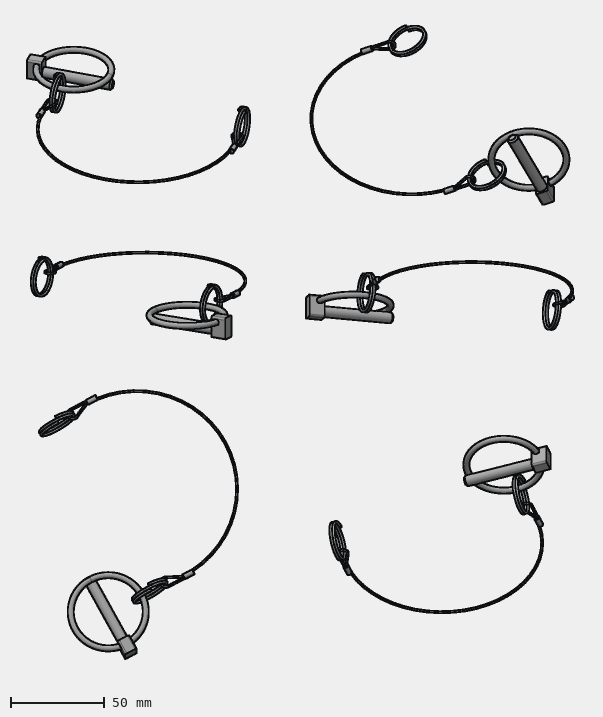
import cadquery as cq
import math

pull_ring_od = 43.4
pull_wire_dia = 3.4
pull_ring_radius = (pull_ring_od - pull_wire_dia) / 2

head_length = 8.4
head_width = 7.0
head_height = 12.0
head_left_x = -25.3
head_top_z = 3.0
head_edge_radius = 1.0

pin_dia = 6.0
pin_tip_x = 22.0
pin_tip_chamfer = 1.0
pin_axis_z = -5.0

split_ring_od = 21.4
split_wire_dia = 1.5
split_turns = 2
split_coil_gap = 0.05
split_pitch = split_wire_dia + split_coil_gap
split_ring_radius = (split_ring_od - split_wire_dia) / 2
split_ring_y = -24.8
split_ring_left_x = -0.6
split_ring_right_x = 103.3

overall_length = 132.75
overall_depth = 121.0
cable_dia = 1.2
ferrule_dia = 3.0
ferrule_length = 5.8
ferrule_top_y = -44.4
strand_offset = 0.65
loop_radius = 2.6
loop_centre_y = -34.7
stub_length = 1.0

ferrule_right_x = head_left_x + overall_length - ferrule_dia / 2
ferrule_left_x = -2.35
lanyard_mid_x = (ferrule_left_x + ferrule_right_x) / 2
arc_radius = lanyard_mid_x - (ferrule_left_x + strand_offset)
arc_bottom_y = pull_ring_od / 2 - overall_depth + cable_dia / 2
arc_centre_y = arc_bottom_y + arc_radius


def make_linch_pin():
    head = (
        cq.Workplane("XY")
        .box(head_length, head_width, head_height, centered=(False, True, False))
        .translate((head_left_x, 0, head_top_z - head_height))
        .edges("|X")
        .fillet(head_edge_radius)
    )
    shank_start_x = head_left_x + head_length / 2
    shank = (
        cq.Workplane("YZ", origin=(shank_start_x, 0, pin_axis_z))
        .circle(pin_dia / 2)
        .extrude(pin_tip_x - shank_start_x)
        .faces(">X")
        .chamfer(pin_tip_chamfer)
    )
    pull_ring = cq.Workplane(cq.Solid.makeTorus(pull_ring_radius, pull_wire_dia / 2))
    return head.union(shank).union(pull_ring)


def make_split_ring(centre_x):
    coil_height = split_turns * split_pitch
    path = cq.Wire.makeHelix(split_pitch, coil_height, split_ring_radius)
    coil = (
        cq.Workplane("XZ", origin=(split_ring_radius, 0, 0))
        .circle(split_wire_dia / 2)
        .sweep(cq.Workplane(path), isFrenet=True)
    )
    return (
        coil.translate((0, 0, -coil_height / 2))
        .rotate((0, 0, 0), (0, 1, 0), -90)
        .mirror("YZ")
        .translate((centre_x, split_ring_y, 0))
    )


def make_left_cable_end():
    ferrule = (
        cq.Workplane("XZ", origin=(ferrule_left_x, ferrule_top_y, 0))
        .circle(ferrule_dia / 2)
        .extrude(ferrule_length)
    )
    straight_x = ferrule_left_x - strand_offset
    slanted_x = ferrule_left_x + strand_offset
    strand_start_y = ferrule_top_y - ferrule_length / 2
    stub_end_y = ferrule_top_y + stub_length
    loop_centre_x = straight_x + loop_radius
    stub_dx = slanted_x - loop_centre_x
    stub_dy = stub_end_y - loop_centre_y
    stub_angle = math.atan2(stub_dy, stub_dx)
    tangent_angle = stub_angle + math.acos(loop_radius / math.hypot(stub_dx, stub_dy))
    tangent_point = (
        loop_centre_x + loop_radius * math.cos(tangent_angle),
        loop_centre_y + loop_radius * math.sin(tangent_angle),
    )
    path = (
        cq.Workplane("XY")
        .moveTo(straight_x, strand_start_y)
        .lineTo(straight_x, loop_centre_y)
        .threePointArc((loop_centre_x, loop_centre_y + loop_radius), tangent_point)
        .lineTo(slanted_x, stub_end_y)
        .lineTo(slanted_x, strand_start_y)
    )
    loop = (
        cq.Workplane("XZ", origin=(straight_x, strand_start_y, 0))
        .circle(cable_dia / 2)
        .sweep(path, transition="round")
    )
    return ferrule.union(loop)


def make_lanyard():
    path = (
        cq.Workplane("XY")
        .moveTo(lanyard_mid_x - arc_radius, arc_centre_y)
        .threePointArc((lanyard_mid_x, arc_bottom_y), (lanyard_mid_x + arc_radius, arc_centre_y))
    )
    cable = (
        cq.Workplane("XZ", origin=(lanyard_mid_x - arc_radius, arc_centre_y, 0))
        .circle(cable_dia / 2)
        .sweep(path)
    )
    left_end = make_left_cable_end()
    right_end = left_end.mirror("YZ", (lanyard_mid_x, 0, 0))
    return cable.union(left_end).union(right_end)


linch_pin = make_linch_pin()
split_rings = [make_split_ring(x) for x in (split_ring_left_x, split_ring_right_x)]
lanyard = make_lanyard()

result = cq.Compound.makeCompound(
    [linch_pin.solids().val(), *[ring.val() for ring in split_rings], lanyard.solids().val()]
)